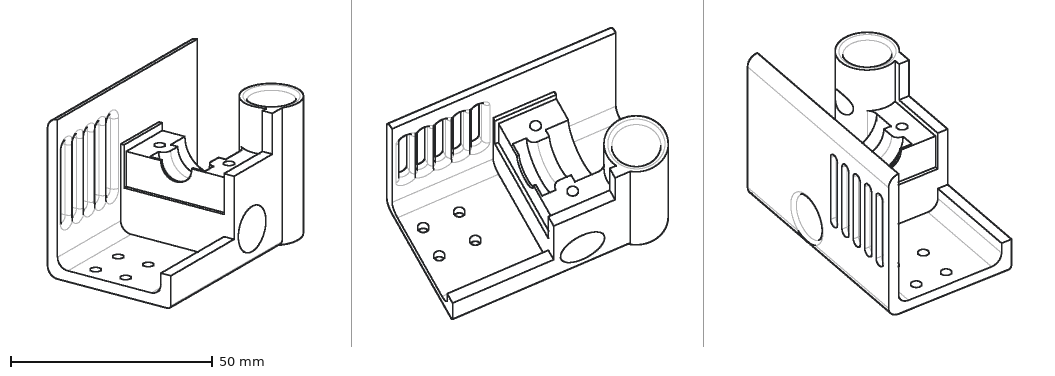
import cadquery as cq

length = 62.0
tray_width = 37.0
wall = 3.0
height = 43.0
lip_height = 9.0
outer_radius = wall
inner_radius = 3.0
lip_edge_radius = 1.0
inner_right = tray_width - wall

block_front = 28.0
block_back = 45.0
block_top = 24.5
left_rail_width = 1.0
left_rail_top = 26.6
right_rail_top = 26.0
recess_depth = 1.0
recess_bottom = 15.0

rod_diameter = 12.2
rod_radius = rod_diameter / 2
rod_mouth_radius = 1.0
cross_rod_y = 36.0
cross_rod_z = 9.0

tube_radius = 8.0
tube_x = 30.57
tube_y = length - tube_radius
tube_top = 37.0
tube_fillet = 3.0

seat_x = 19.0
seat_radius = 8.25
neck_radius = rod_radius
neck_round = 2.0
passage_radius = 4.65
seat_front = 29.6
neck_front = 33.4
neck_back = 38.7

screw_diameter = 2.8
block_screw_y = 37.0
block_screw_offset = 10.4
floor_hole_x = 11.4
floor_hole_y = 4.5
floor_hole_pitch_x = 9.0
floor_hole_pitch_y = 10.0
slot_width = 3.0
slot_round = 1.5
slot_bottom = 13.6
slot_height = 22.0
slot_first_y = 4.0
slot_pitch = 5.0
slot_count = 5


def box(x0, x1, y0, y1, z0, z1):
    """Axis-aligned box between two corners."""
    return cq.Workplane("XY").box(x1 - x0, y1 - y0, z1 - z0, centered=False).translate((x0, y0, z0))


def upright(x, y, radius, z0, z1):
    """Vertical cylinder."""
    return cq.Workplane("XY", origin=(x, y, z0)).circle(radius).extrude(z1 - z0)


def rod_bore(plane, depth):
    """Bore along the plane's +Y from its origin, with a rounded mouth there."""
    mouth_radius = rod_radius + rod_mouth_radius
    return (
        cq.Workplane(plane)
        .lineTo(mouth_radius, 0)
        .radiusArc((rod_radius, rod_mouth_radius), rod_mouth_radius)
        .lineTo(rod_radius, depth)
        .lineTo(0, depth)
        .close()
        .revolve(360, (0, 0), (0, 1))
    )


def make_tray():
    """Cross-section with rounded edges, extruded along Y."""
    profile = (
        cq.Workplane("XZ")
        .moveTo(outer_radius, 0)
        .lineTo(tray_width - lip_edge_radius, 0)
        .radiusArc((tray_width, lip_edge_radius), -lip_edge_radius)
        .lineTo(tray_width, lip_height)
        .lineTo(inner_right, lip_height)
        .lineTo(inner_right, wall + inner_radius)
        .radiusArc((inner_right - inner_radius, wall), inner_radius)
        .lineTo(wall + inner_radius, wall)
        .radiusArc((wall, wall + inner_radius), inner_radius)
        .lineTo(wall, height)
        .radiusArc((0, height - outer_radius), -outer_radius)
        .lineTo(0, outer_radius)
        .radiusArc((outer_radius, 0), -outer_radius)
        .close()
    )
    tray = profile.extrude(-length)
    corner = box(tube_x, tray_width, tube_y, length, 0, height)
    return tray.cut(corner)


def make_mouth_pad():
    """Disc that keeps the cross bore's mouth a full circle where it runs over the rounded bottom edge."""
    return (
        cq.Workplane("YZ", origin=(0, cross_rod_y, cross_rod_z))
        .circle(rod_radius + rod_mouth_radius)
        .extrude(wall)
    )


def make_block():
    """Block between the walls, with a raised rail along each side and a shallow front recess."""
    rail_inner = wall + left_rail_width
    block = box(wall, inner_right, block_front, block_back, wall, block_top)
    left_rail = box(wall, rail_inner, block_front, block_back, block_top, left_rail_top)
    right_rail = box(inner_right, tray_width, block_front, block_back, lip_height, right_rail_top)
    recess = box(
        rail_inner, inner_right, block_front, block_front + recess_depth, recess_bottom, block_top
    )
    return block.union(left_rail).union(right_rail).cut(recess)


def make_tube():
    """Upright tube with its root fillet, the wall beside it and the web that joins it to the block."""
    tube = upright(tube_x, tube_y, tube_radius, 0, tube_top)
    side_wall = box(inner_right, tray_width, block_back, tube_y, lip_height, tube_top)

    ring_radius = tube_radius + tube_fillet
    fillet_top = wall + tube_fillet
    root = upright(tube_x, tube_y, ring_radius, wall, fillet_top)
    hollow = cq.Workplane(obj=cq.Solid.makeTorus(
        ring_radius, tube_fillet, cq.Vector(tube_x, tube_y, fillet_top)
    ))
    inner_area = box(wall, inner_right, block_back, tube_y, wall, fillet_top)
    behind_area = box(wall, tube_x, tube_y, length, wall, fillet_top)
    root = root.cut(hollow).intersect(inner_area.union(behind_area))

    overlap_y = (block_front + block_back) / 2
    blend_x = seat_x + seat_radius - tube_fillet
    web = (
        cq.Workplane("XY", origin=(0, 0, wall))
        .polyline([
            (blend_x, block_back), (blend_x, overlap_y), (inner_right, overlap_y),
            (inner_right, tube_y), (tube_x, tube_y),
        ])
        .close()
        .extrude(block_top - wall)
    )
    blend = upright(blend_x, block_back, tube_fillet, fillet_top, block_top)
    blend_end = cq.Workplane("XY", origin=(blend_x, block_back, fillet_top)).sphere(tube_fillet)
    web = web.cut(blend).cut(blend_end)
    return tube.union(side_wall).union(root).union(web)


def make_seat():
    """Stepped round cutter along Y: passage, front ring, rounded neck and back ring."""
    plane = cq.Plane(origin=(seat_x, 0, block_top), xDir=(1, 0, 0), normal=(0, 0, 1))
    seat = (
        cq.Workplane(plane)
        .moveTo(0, seat_front)
        .lineTo(seat_radius, seat_front)
        .lineTo(seat_radius, neck_front)
        .lineTo(neck_radius + neck_round, neck_front)
        .radiusArc((neck_radius, neck_front + neck_round), neck_round)
        .lineTo(neck_radius, neck_back)
        .lineTo(seat_radius, neck_back)
        .lineTo(seat_radius, block_back)
        .lineTo(0, block_back)
        .close()
        .revolve(360, (0, 0), (0, 1))
    )
    passage = (
        cq.Workplane("XZ", origin=(seat_x, block_front, block_top))
        .circle(passage_radius)
        .extrude(block_front - length)
    )
    return seat.union(passage)


def make_screw_holes():
    """Two holes from the block top down to the sleeve around the cross bore, and four through the floor."""
    radius = screw_diameter / 2
    sleeve = (
        cq.Workplane("YZ", origin=(0, cross_rod_y, cross_rod_z))
        .circle(tube_radius)
        .extrude(tray_width)
    )
    holes = cq.Workplane("XY")
    for x in (seat_x - block_screw_offset, seat_x + block_screw_offset):
        holes = holes.add(upright(x, block_screw_y, radius, cross_rod_z, block_top).cut(sleeve))
    for column in range(2):
        for row in range(2):
            x = floor_hole_x + column * floor_hole_pitch_x
            y = floor_hole_y + row * floor_hole_pitch_y
            holes = holes.add(upright(x, y, radius, 0, wall))
    return holes.combine()


def make_vent():
    """Upright slot through the left wall at y = 0, flaring with a round towards the inside."""
    half_width = slot_width / 2
    lower_end = slot_bottom + half_width
    upper_end = slot_bottom + slot_height - half_width

    def half_profile(z):
        return (
            cq.Workplane("XY", origin=(0, 0, z))
            .lineTo(0, half_width)
            .lineTo(wall - slot_round, half_width)
            .radiusArc((wall, half_width + slot_round), -slot_round)
            .lineTo(wall, 0)
            .close()
        )

    half_slot = half_profile(lower_end).extrude(upper_end - lower_end)
    vent = half_slot.union(half_slot.mirror("XZ"))
    for z in (lower_end, upper_end):
        vent = vent.union(half_profile(z).revolve(360, (0, 0), (1, 0)))
    return vent


tube_axis = cq.Plane(origin=(tube_x, tube_y, tube_top), xDir=(1, 0, 0), normal=(0, 1, 0))
cross_axis = cq.Plane(origin=(0, cross_rod_y, cross_rod_z), xDir=(0, 1, 0), normal=(0, 0, -1))

result = make_tray().union(make_mouth_pad()).union(make_block()).union(make_tube())
result = result.cut(make_seat())
result = result.cut(rod_bore(tube_axis, tube_top))
result = result.cut(rod_bore(cross_axis, tray_width))
result = result.cut(make_screw_holes())
for index in range(slot_count):
    result = result.cut(make_vent().translate((0, slot_first_y + index * slot_pitch, 0)))
result = result.clean()